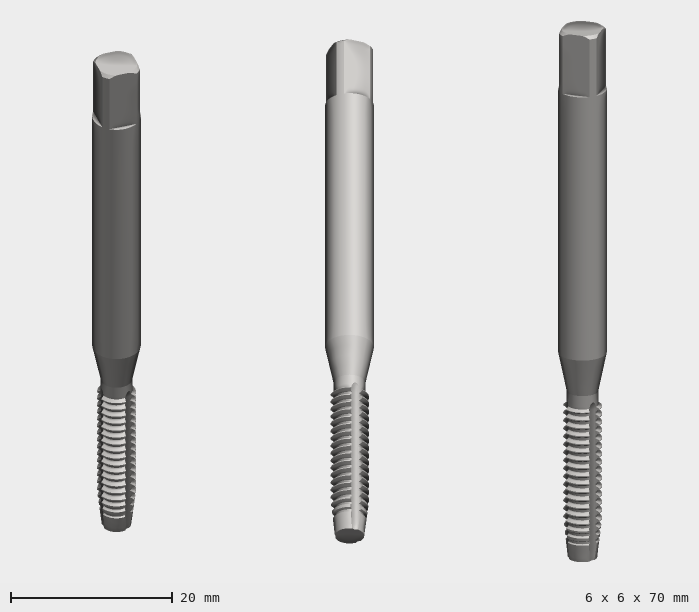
import cadquery as cq
import math

total_length = 70.0
square_length = 8.0
cone_top = 27.15
neck_top = 22.05
thread_top = 20.0

shank_radius = 3.0
square_side = 4.9
square_chamfer_radius = 2.6
square_chamfer_height = 0.35
neck_radius = 1.95

thread_diameter = 4.8
thread_radius = thread_diameter / 2
root_radius = 1.9
grooved_length = 18.0
groove_count = 17
thread_pitch = grooved_length / groove_count
crest_width = 0.15
flank_angle = 30.0
flank_slope = math.tan(math.radians(flank_angle))
tip_radius = 1.8
lead_length = 5.0

flute_count = 3
first_flute_angle = -90.0
flute_radius = 0.85
flute_bottom_radius = 1.7
flute_axis_radius = flute_bottom_radius + flute_radius
runout_radius = 1.05
runout_angle = 60.0


def revolved(outline):
    """Solid of revolution about Z from (radius, height) points."""
    profile = cq.Workplane("XZ").polyline(outline).close()
    return profile.revolve(360, (0, 0, 0), (0, 1, 0))


def make_flute_cutter(angle):
    """Straight channel up to the thread top, then an arc that leaves the neck."""
    section = cq.Workplane("XY").center(flute_axis_radius, 0).circle(flute_radius)
    channel = section.extrude(thread_top)
    runout = (
        cq.Workplane("XY", origin=(flute_axis_radius, 0, thread_top))
        .circle(flute_radius)
        .revolve(runout_angle, (runout_radius, 0, 0), (runout_radius, 1, 0))
    )
    return channel.union(runout).rotate((0, 0, 0), (0, 0, 1), angle)


def cut_flutes(body):
    """The body with the evenly spaced flutes cut from it."""
    for index in range(flute_count):
        angle = first_flute_angle + index * 360.0 / flute_count
        body = body.cut(make_flute_cutter(angle))
    return body


def make_shank():
    """Top flank of the first ridge, neck, cone and round shank with the driving square."""
    flank_top = thread_top + (thread_radius - neck_radius) * flank_slope
    square_bottom = total_length - square_length
    blank = revolved([
        (0, thread_top),
        (thread_radius, thread_top),
        (neck_radius, flank_top),
        (neck_radius, neck_top),
        (shank_radius, cone_top),
        (shank_radius, total_length - square_chamfer_height),
        (square_chamfer_radius, total_length),
        (0, total_length),
    ])
    around_square = (
        cq.Workplane("XY", origin=(0, 0, square_bottom))
        .circle(2 * shank_radius)
        .rect(square_side, square_side)
        .extrude(square_length)
    )
    return cut_flutes(blank.cut(around_square))


def make_thread_groove(center_height):
    """Trapezoidal ring to cut away, leaving a flat crest on each side."""
    mouth_half = (thread_pitch - crest_width) / 2
    depth = thread_radius - root_radius
    root_half = mouth_half - depth * flank_slope
    return revolved([
        (root_radius, center_height - root_half),
        (thread_radius, center_height - mouth_half),
        (thread_radius, center_height + mouth_half),
        (root_radius, center_height + root_half),
    ])


def make_threaded_end():
    """Fluted threading section with a tapered lead."""
    body = revolved([
        (0, 0),
        (tip_radius, 0),
        (thread_radius, lead_length),
        (thread_radius, thread_top),
        (0, thread_top),
    ])
    for index in range(groove_count):
        center_height = thread_top - (index + 0.5) * thread_pitch
        body = body.cut(make_thread_groove(center_height))
    return cut_flutes(body)


shank = make_shank()
threaded_end = make_threaded_end()

result = cq.Compound.makeCompound([shank.val(), threaded_end.val()])